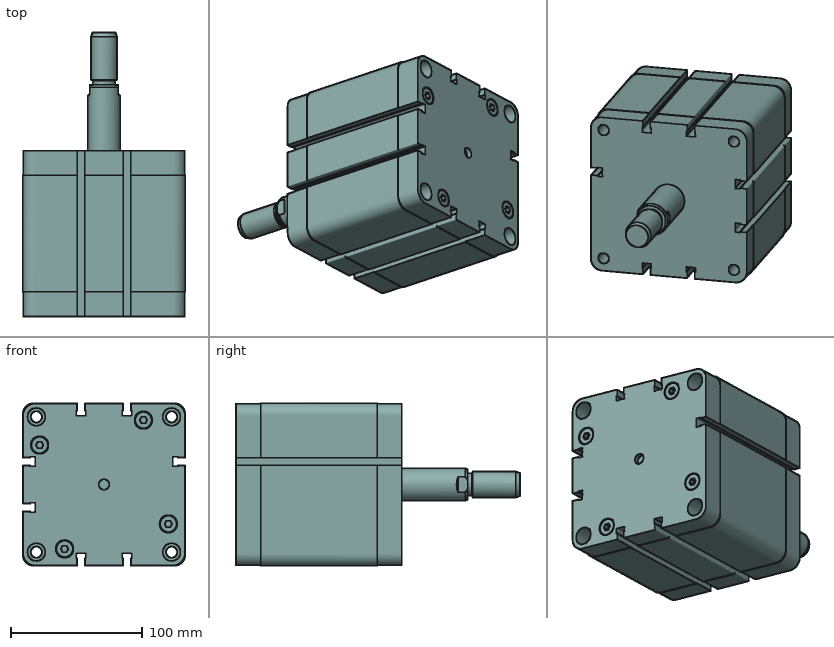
import cadquery as cq
import math

barrel_width = 124.0
cap_width = 123.2
corner_radius = 9.0
cap_length = 19.0
body_length = 126.5
barrel_length = body_length - 2 * cap_length

rod_length = 90.0
rod_diameter = 25.0
shoulder_distance = 40.0
shoulder_chamfer_length = 2.0
shoulder_chamfer_depth = 1.0
thread_diameter = 20.0
thread_end_distance = 36.0
thread_chamfer_length = 3.4
neck_diameter = 17.5
neck_taper_length = 0.7
flat_width = 22.0
flat_end_distance = 47.0

slot_offset = 17.5
slot_mouth_width = 6.0
slot_pocket_width = 7.2
slot_floor = 52.5
slot_ledge = 56.2
slot_pocket_fillet = 0.8
slot_mouth_round = 0.6
slot_cut_overshoot = 1.0

mount_half_pitch = 51.5
mount_hole_diameter = 8.38
mount_bore_diameter = 13.5
mount_bore_depth = 19.0

screw_near = 30.0
screw_far = 49.0
screw_bore_diameter = 13.5
screw_head_diameter = 12.5
screw_bore_depth = 8.0
screw_head_recess = 0.2
socket_flats = 5.0
socket_depth = 5.0

centre_hole_diameter = 8.0
centre_hole_depth = 4.0


def plane_at(y):
    """XZ workplane at a given Y, with its normal toward +Y and local x along -X."""
    return cq.Workplane(cq.Plane(origin=(0, y, 0), xDir=(-1, 0, 0), normal=(0, 1, 0)))


def cylinder(x, z, y, diameter, length):
    """Cylinder along +Y starting at (x, y, z)."""
    return plane_at(y).center(-x, z).circle(diameter / 2).extrude(length)


def rounded_block(width, y, length):
    """Square block along +Y starting at y, with rounded long edges."""
    return plane_at(y).rect(width, width).extrude(length).edges("|Y").fillet(corner_radius)


def make_body():
    """Slightly wider barrel between two end caps."""
    rear_cap = rounded_block(cap_width, 0, cap_length)
    barrel = rounded_block(barrel_width, cap_length, barrel_length)
    front_cap = rounded_block(cap_width, cap_length + barrel_length, cap_length)
    return rear_cap.union(barrel).union(front_cap)


def make_rod():
    """Turned rod with a threaded end, an undercut neck and two wrench flats that run out at 45 degrees."""
    tip = body_length + rod_length
    shoulder = tip - shoulder_distance
    thread_end = tip - thread_end_distance
    rod_radius = rod_diameter / 2
    thread_radius = thread_diameter / 2
    neck_radius = neck_diameter / 2
    profile = [
        (0, body_length - cap_length),
        (rod_radius, body_length - cap_length),
        (rod_radius, shoulder - shoulder_chamfer_length),
        (rod_radius - shoulder_chamfer_depth, shoulder),
        (neck_radius, shoulder),
        (neck_radius, thread_end - neck_taper_length),
        (thread_radius, thread_end),
        (thread_radius, tip - thread_chamfer_length),
        (neck_radius, tip),
        (0, tip),
    ]
    rod = cq.Workplane("XY").polyline(profile).close().revolve(360, (0, 0, 0), (0, 1, 0))

    flat_half = flat_width / 2
    flat_end = tip - flat_end_distance
    cutter_depth = rod_diameter / 4
    for side in (-1, 1):
        cutter = (
            cq.Workplane("XY")
            .polyline([
                (side * flat_half, tip),
                (side * flat_half, flat_end),
                (side * (flat_half + cutter_depth), flat_end - cutter_depth),
                (side * (flat_half + cutter_depth), tip),
            ])
            .close()
            .extrude(rod_diameter, both=True)
        )
        rod = rod.cut(cutter)
    return rod


def make_slot(side_angle, offset_sign, width, y, length):
    """Slot in the top side of one body section of the given width, turned about Y by side_angle.

    The mouth edge nearer the middle of the side is rounded, and so is the pocket corner away from it.
    """
    surface = width / 2
    outside = surface + slot_cut_overshoot
    mouth_inner = slot_offset - slot_mouth_width / 2
    mouth_outer = slot_offset + slot_mouth_width / 2
    pocket_inner = slot_offset - slot_pocket_width / 2
    pocket_outer = slot_offset + slot_pocket_width / 2
    slot = (
        cq.Workplane("XZ")
        .moveTo(mouth_inner - slot_mouth_round, outside)
        .lineTo(mouth_inner - slot_mouth_round, surface)
        .radiusArc((mouth_inner, surface - slot_mouth_round), slot_mouth_round)
        .lineTo(mouth_inner, slot_ledge)
        .lineTo(pocket_inner, slot_ledge)
        .lineTo(pocket_inner, slot_floor)
        .lineTo(pocket_outer - slot_pocket_fillet, slot_floor)
        .radiusArc((pocket_outer, slot_floor + slot_pocket_fillet), -slot_pocket_fillet)
        .lineTo(pocket_outer, slot_ledge)
        .lineTo(mouth_outer, slot_ledge)
        .lineTo(mouth_outer, outside)
        .close()
        .extrude(-length)
        .translate((0, y, 0))
    )
    if offset_sign < 0:
        slot = slot.mirror("YZ")
    return slot.rotate((0, 0, 0), (0, 1, 0), side_angle)


def cut_slots(part):
    """Two slots on every side except +X, which has only the upper one."""
    sections = (
        (cap_width, 0, cap_length),
        (barrel_width, cap_length, barrel_length),
        (cap_width, cap_length + barrel_length, cap_length),
    )
    slots = ((0, -1), (0, 1), (180, -1), (180, 1), (270, -1), (270, 1), (90, -1))
    for side_angle, offset_sign in slots:
        for width, y, length in sections:
            part = part.cut(make_slot(side_angle, offset_sign, width, y, length))
    return part


def cut_mounting_holes(part):
    """Through holes at the four corners, counterbored from the rear face."""
    for x in (-mount_half_pitch, mount_half_pitch):
        for z in (-mount_half_pitch, mount_half_pitch):
            part = part.cut(cylinder(x, z, 0, mount_hole_diameter, body_length))
            part = part.cut(cylinder(x, z, 0, mount_bore_diameter, mount_bore_depth))
    return part


def add_screws(part):
    """Sunk socket-head screws, one per side, each a quarter turn from the last."""
    places = (
        (screw_near, screw_far),
        (screw_far, -screw_near),
        (-screw_near, -screw_far),
        (-screw_far, screw_near),
    )
    head_length = screw_bore_depth - screw_head_recess
    socket_corner_diameter = socket_flats / math.cos(math.pi / 6)
    for x, z in places:
        part = part.cut(cylinder(x, z, 0, screw_bore_diameter, screw_bore_depth))
        head = cylinder(x, z, screw_head_recess, screw_head_diameter, head_length)
        socket = (
            plane_at(screw_head_recess)
            .center(-x, z)
            .polygon(6, socket_corner_diameter)
            .extrude(socket_depth)
        )
        part = part.union(head.cut(socket))
    return part


body = cut_slots(make_body())
body = cut_mounting_holes(body)
body = add_screws(body)
body = body.cut(cylinder(0, 0, 0, centre_hole_diameter, centre_hole_depth))
result = body.union(make_rod())